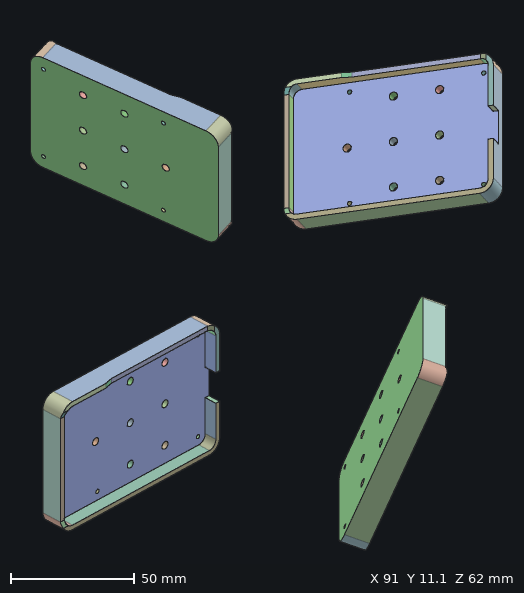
import cadquery as cq

length = 91.0
depth = 11.1
height = 62.0
corner_radius = 6.0
wall = 2.3
floor_thickness = 5.0

mount_pitch = 20.0
mount_diameter = 3.5
pin_diameter = 1.8
pin_left_x = -39.1
pin_right_x = 18.9
pin_z = 24.6

notch_height = 14.65
notch_center_z = -0.3

dip_depth = 1.0
dip_end_ramp = 2.9
top_dip_right_ramp = 4.2
top_dip_right_x = 16.1

half_length = length / 2
half_height = height / 2


def rounded_block(x_size, z_size, radius, y_start, y_end):
    """Block with rounded corners in XZ, running from y_start to y_end."""
    block = cq.Workplane("XY").box(x_size, y_end - y_start, z_size)
    return block.edges("|Y").fillet(radius).translate((0, (y_start + y_end) / 2, 0))


def floor_holes(points, diameter):
    """Cylinders at (x, z) points, passing through the floor."""
    plane = cq.Workplane("XZ").pushPoints(points)
    return plane.circle(diameter / 2).extrude(-floor_thickness)


def dip_outline(plane, start, end, start_ramp, end_ramp):
    """Trapezoid cut into the rim; start and end bound its flat bottom."""
    bottom = depth - dip_depth
    return plane.polyline([
        (start - start_ramp, depth),
        (start, bottom),
        (end, bottom),
        (end + end_ramp, depth),
    ]).close()


body = rounded_block(length, height, corner_radius, 0, depth)
pocket = rounded_block(
    length - 2 * wall, height - 2 * wall, corner_radius - wall, floor_thickness, depth
)
body = body.cut(pocket)

mount_points = [(x, z) for x in (-mount_pitch, 0) for z in (-mount_pitch, 0, mount_pitch)]
mount_points.append((mount_pitch, 0))
body = body.cut(floor_holes(mount_points, mount_diameter))

pin_points = [(x, z) for x in (pin_left_x, pin_right_x) for z in (-pin_z, pin_z)]
body = body.cut(floor_holes(pin_points, pin_diameter))

notch = cq.Workplane("XY").box(wall, depth - floor_thickness, notch_height).translate(
    ((wall - length) / 2, (depth + floor_thickness) / 2, notch_center_z)
)
body = body.cut(notch)

top_dip_left_x = corner_radius - half_length
top_plane = cq.Workplane("XY")
top_dip = dip_outline(
    top_plane, top_dip_left_x, top_dip_right_x, dip_end_ramp, top_dip_right_ramp
).extrude(half_height)
top_dip = top_dip.intersect(
    cq.Workplane("XY").box(length, 2 * depth, corner_radius)
    .translate((0, 0, half_height - corner_radius / 2))
)
body = body.cut(top_dip)

right_dip_end = half_height - corner_radius
right_plane = cq.Workplane(cq.Plane((0, 0, 0), xDir=(0, 0, 1), normal=(-1, 0, 0)))
right_dip = dip_outline(
    right_plane, -right_dip_end, right_dip_end, dip_end_ramp, dip_end_ramp
).extrude(-half_length)
right_dip = right_dip.intersect(
    cq.Workplane("XY").box(corner_radius, 2 * depth, height)
    .translate((half_length - corner_radius / 2, 0, 0))
)
body = body.cut(right_dip)

result = body